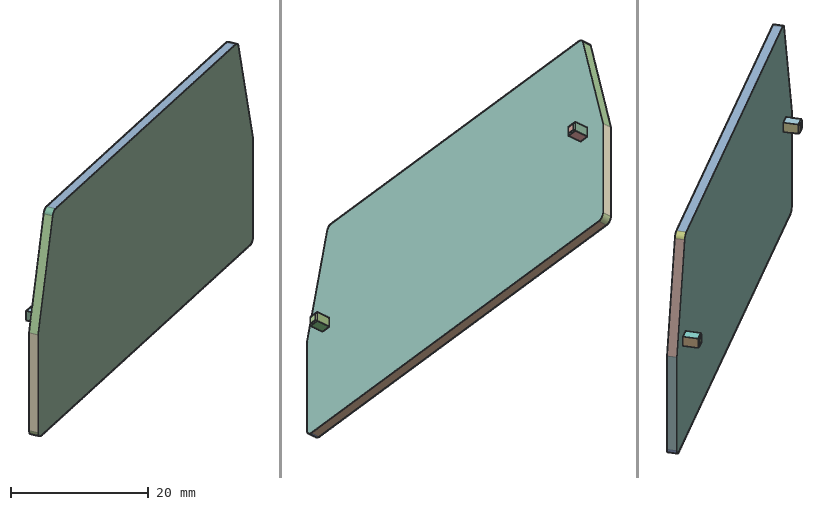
import cadquery as cq

plate_width = 68.5
plate_height = 35.2
plate_thickness = 1.5
top_width = 58.8
shoulder_height = 17.1
corner_radius = 1.0

overall_depth = 3.96
peg_length = overall_depth - plate_thickness
peg_side = 1.6
peg_spacing = 59.7
peg_height = plate_height / 2
peg_tip_chamfer = 0.2


def make_plate():
    """Plate with upright lower sides, tapered upper sides and rounded corners."""
    half_width = plate_width / 2
    half_top = top_width / 2
    outline = [
        (-half_width, 0),
        (half_width, 0),
        (half_width, shoulder_height),
        (half_top, plate_height),
        (-half_top, plate_height),
        (-half_width, shoulder_height),
    ]
    plate = cq.Workplane("YZ").polyline(outline).close().extrude(plate_thickness)
    bottom_corners = plate.edges("|X").edges("<Z")
    top_corners = plate.edges("|X").edges(">Z")
    return plate.newObject(bottom_corners.vals() + top_corners.vals()).fillet(corner_radius)


def make_peg(y_position):
    """Square peg rising from the -X face, with a chamfered tip."""
    peg = cq.Workplane("YZ").center(y_position, peg_height).rect(peg_side, peg_side).extrude(-peg_length)
    return peg.faces("<X").chamfer(peg_tip_chamfer)


result = make_plate()
for side in (-1, 1):
    result = result.union(make_peg(side * peg_spacing / 2))